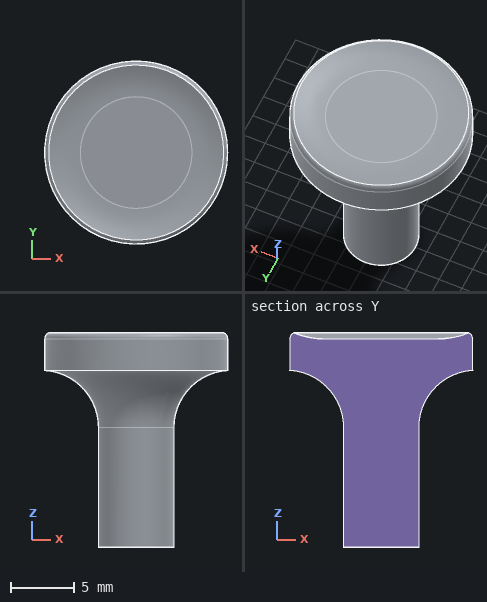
import cadquery as cq
import math

total_height = 17.0
head_radius = 14.5 / 2
stem_radius = 6.0 / 2
stem_length = 9.5
flare_radius = 4.5
rim_height = 0.5
rim_inset = 0.32
dish_floor_radius = 4.42
dish_depth = 0.5

flare_center_r = stem_radius + flare_radius


def flare_height(radius):
    """Height of the flare arc at a given distance from the axis."""
    return stem_length + math.sqrt(flare_radius**2 - (flare_center_r - radius) ** 2)


flare_mid_r = flare_center_r - flare_radius * math.cos(math.radians(45))
flare_mid = (flare_mid_r, flare_height(flare_mid_r))
flare_end = (head_radius, flare_height(head_radius))

rim_start = (head_radius, total_height - rim_height)
rim_end = (head_radius - rim_inset, total_height)

dish_floor_z = total_height - dish_depth
dish_span = rim_end[0] - dish_floor_radius
dish_radius = (dish_span**2 + dish_depth**2) / (2 * dish_depth)
dish_mid_r = dish_floor_radius + dish_span / 2
dish_mid_z = dish_floor_z + dish_radius - math.sqrt(dish_radius**2 - (dish_span / 2) ** 2)

result = (
    cq.Workplane("XZ")
    .lineTo(stem_radius, 0)
    .lineTo(stem_radius, stem_length)
    .threePointArc(flare_mid, flare_end)
    .lineTo(*rim_start)
    .tangentArcPoint(rim_end, relative=False)
    .threePointArc((dish_mid_r, dish_mid_z), (dish_floor_radius, dish_floor_z))
    .lineTo(0, dish_floor_z)
    .close()
    .revolve(360, (0, 0, 0), (0, 1, 0))
)